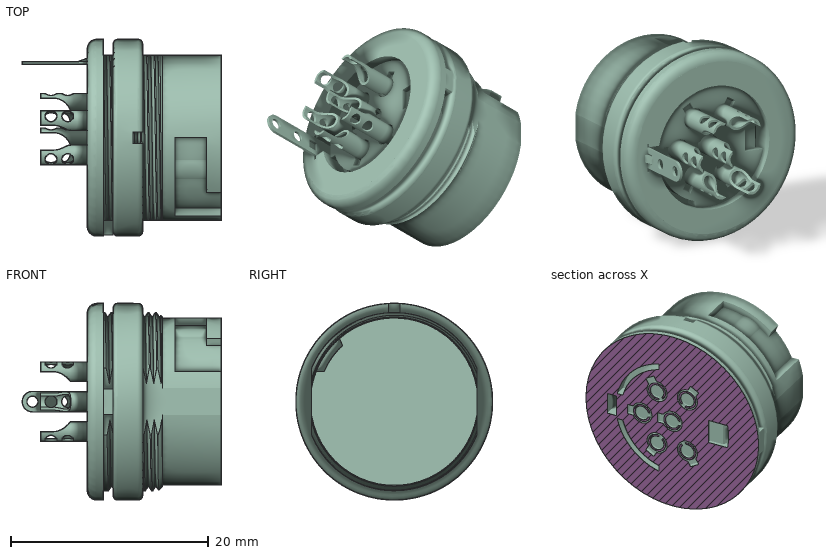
import cadquery as cq
import math


flange_radius = 10.0
flange_thickness = 1.65
flange_round = 1.0
nut_start = 2.63
nut_end = 5.65
nut_round = 0.5
nut_notch_depth = 1.0
nut_notch_width = 1.16
sleeve_radius = 8.5
sleeve_end = 13.63
flat_offset = 8.39
tab_width = 2.58
tab_reach = 9.9

thread_radius = 9.05
thread_root_radius = 8.59
thread_end = 7.65
thread_pitch = 0.75
thread_crest_width = 0.12
thread_turns = 8.4
thread_first_root = 1.73
thread_overrun = 1.35
thread_groove_clearance = 0.05
thread_lead_chamfer = 0.5

slot_start = 8.92
slot_lip_start = 12.14
slot_floor_radius = 7.75
slot_low_angle = 158.8
slot_low_floor_angle = 156.7
slot_entry_angle = 130.8
slot_entry_floor_angle = 132.7
slot_bump_low_angle = 123.2
slot_bump_high_angle = 107.2
slot_bump_radius = 7.94
slot_end_angle = 90.0

recess_radius = 6.5
insert_depth = 1.0
insert_radius = 5.91
gap_depth = 2.5
gap_edge_y = 1.57
key_half_width = 1.5
pocket_inner_y = -4.23
pocket_width = 2.55
pocket_depth = 0.57
pocket_drop_y = -5.72
pocket_drop = 1.2

contact_circle_radius = 3.5
contact_tip = -4.72
contact_radius = 1.0
contact_root = 1.0
cup_bore_diameter = 1.5
cup_depth = 6.2
cup_cut_offset = 0.5
cup_flat_length = 1.3
cup_cut_radius = 1.8
cup_hole_diameter = 1.2
cup_hole_positions = (1.05, 2.75)
base_hole_diameter = 1.0
base_hole_x = 0.8
seat_radius = 1.13
seat_depth = 0.5
seat_key_width = 1.03
seat_key_reach = 1.76
seat_key_ramp = 0.2

lug_tip = -6.6
lug_inner_y = 7.45
lug_thickness = 0.28
lug_slot_clearance = 0.05
lug_half_width = 1.05
lug_hole_diameter = 1.1
lug_hole_spacing = 3.0
lug_window_size = 1.0
lug_window_offset = 5.15
lug_slot_half_width = 1.5
lug_slot_depth = 1.0
lug_pocket_inner_y = 6.4
lug_pocket_half_width = 1.13
lug_pocket_depth = 3.0
lug_pocket_floor_y = 6.95
lug_bend_radius = 0.45
barb_length = 0.95
barb_height = 0.35
barb_width = 0.8


def cylinder_x(start, end, radius):
    """Solid cylinder around the X axis between two stations."""
    return cq.Workplane("YZ", origin=(start, 0, 0)).circle(radius).extrude(end - start)


def block(x_range, y_range, z_range):
    """Box given by its limits along the three axes."""
    (x0, x1), (y0, y1), (z0, z1) = x_range, y_range, z_range
    return cq.Workplane("XY").box(x1 - x0, y1 - y0, z1 - z0, centered=False).translate((x0, y0, z0))


def polar(radius, degrees):
    """Point in the YZ plane."""
    angle = math.radians(degrees)
    return (radius * math.cos(angle), radius * math.sin(angle))


def thread_groove():
    """Helical V groove around X, cut as one right-handed sweep."""
    slope = (thread_pitch - thread_crest_width) / 2 / (thread_radius - thread_root_radius)
    mouth_radius = thread_radius + thread_groove_clearance
    mouth_half_width = slope * (mouth_radius - thread_root_radius)
    helix = cq.Wire.makeHelix(thread_pitch, thread_pitch * thread_turns, thread_root_radius)
    profile = cq.Workplane("XZ").polyline([
        (thread_root_radius, 0),
        (mouth_radius, mouth_half_width),
        (mouth_radius, -mouth_half_width),
    ]).close()
    groove = profile.sweep(cq.Workplane(obj=helix), isFrenet=True)
    return groove.rotate((0, 0, 0), (0, 1, 0), 90).translate((thread_first_root, 0, 0))


def threaded_sleeve():
    """Threaded barrel and plain sleeve, flattened on the two Y sides."""
    barrel = cylinder_x(0, thread_end + thread_overrun, thread_radius).cut(thread_groove())
    envelope = cylinder_x(0, thread_end, thread_radius + thread_groove_clearance)
    barrel = barrel.intersect(envelope.faces(">X").edges().chamfer(thread_lead_chamfer))
    body = barrel.union(cylinder_x(0, sleeve_end, sleeve_radius))
    flats = block((0, sleeve_end), (-flat_offset, flat_offset), (-flange_radius, flange_radius))
    return body.intersect(flats)


def slot_sector(low_angle, low_floor_angle, high_angle, high_floor_angle, length):
    """Ring sector above the slot floor; the angles on the floor may differ from those outside."""
    outer_low = polar(sleeve_radius, low_angle)
    outer_high = polar(sleeve_radius, high_angle)
    floor_middle = polar(slot_floor_radius, (low_floor_angle + high_floor_angle) / 2)
    clear_middle = polar(flange_radius, (low_angle + high_angle) / 2)
    return (
        cq.Workplane("YZ", origin=(slot_start, 0, 0))
        .moveTo(*outer_low)
        .lineTo(*polar(slot_floor_radius, low_floor_angle))
        .threePointArc(floor_middle, polar(slot_floor_radius, high_floor_angle))
        .lineTo(*outer_high)
        .threePointArc(clear_middle, outer_low)
        .close()
        .extrude(length)
    )


def detent_bump():
    """Rounded rise of the slot floor that holds the locked plug."""
    low = polar(slot_floor_radius, slot_bump_low_angle)
    high = polar(slot_floor_radius, slot_bump_high_angle)
    top = polar(slot_bump_radius, (slot_bump_low_angle + slot_bump_high_angle) / 2)
    return (
        cq.Workplane("YZ", origin=(slot_start, 0, 0))
        .moveTo(0, 0)
        .lineTo(*low)
        .threePointArc(top, high)
        .close()
        .extrude(slot_lip_start - slot_start)
    )


def bayonet_slot():
    """L-shaped slot: wide entry from the front, turning behind a lip to a detent bump."""
    entry = slot_sector(
        slot_low_angle,
        slot_low_floor_angle,
        slot_entry_angle,
        slot_entry_floor_angle,
        sleeve_end - slot_start,
    )
    lock = slot_sector(
        slot_low_angle,
        slot_low_floor_angle,
        slot_end_angle,
        slot_end_angle,
        slot_lip_start - slot_start,
    )
    return entry.union(lock).cut(detent_bump())


def flange():
    """Round flange with a rounded rear rim and a locating tab on the -Y side."""
    disc = cylinder_x(0, flange_thickness, flange_radius).faces("<X").edges().fillet(flange_round)
    half_tab = tab_width / 2
    tab = block((flange_thickness / 2, nut_start), (-tab_reach, 0), (-half_tab, half_tab))
    return disc.union(tab)


def nut():
    """Ring nut with a notch in its front rim at the top."""
    ring = cylinder_x(nut_start, nut_end, flange_radius).edges().fillet(nut_round)
    half_notch = nut_notch_width / 2
    notch = block((nut_end - nut_notch_depth, nut_end), (-half_notch, half_notch), (0, flange_radius))
    return ring.cut(notch)


def rear_recess():
    """Recess down to the insert, deepened to a gap around its +Y half except at the key."""
    recess = cylinder_x(0, insert_depth, recess_radius)
    span = (-recess_radius, recess_radius)
    gap = cylinder_x(0, gap_depth, recess_radius).cut(cylinder_x(0, gap_depth, insert_radius))
    gap = gap.intersect(block((0, gap_depth), (gap_edge_y, recess_radius), span))
    gap = gap.cut(block((0, gap_depth), (0, recess_radius), (-key_half_width, key_half_width)))
    return recess.union(gap)


def insert_pocket():
    """Rectangular pocket in the insert whose floor drops towards the rim of the recess."""
    floor = insert_depth + pocket_depth
    pocket = (
        cq.Workplane("XY")
        .polyline([
            (0, pocket_inner_y),
            (floor, pocket_inner_y),
            (floor, pocket_drop_y),
            (floor + pocket_drop, -recess_radius),
            (0, -recess_radius),
        ])
        .close()
        .extrude(pocket_width / 2, both=True)
    )
    return pocket.intersect(cylinder_x(0, floor + pocket_drop, recess_radius))


def contact():
    """Solder-cup contact on the X axis with its kept wall towards +Y and a vent in the -Y wall."""
    pin = cylinder_x(contact_tip, insert_depth + seat_depth + contact_root, contact_radius)
    pin = pin.cut(cylinder_x(contact_tip, contact_tip + cup_depth, cup_bore_diameter / 2))
    arc_x = contact_tip + cup_flat_length
    arc_y = cup_cut_offset - cup_cut_radius
    middle = math.radians(45)
    arc_middle = (arc_x + cup_cut_radius * math.sin(middle), arc_y + cup_cut_radius * math.cos(middle))
    opening = (
        cq.Workplane("XY")
        .moveTo(contact_tip, cup_cut_offset)
        .lineTo(arc_x, cup_cut_offset)
        .threePointArc(arc_middle, (arc_x + cup_cut_radius, arc_y))
        .lineTo(contact_tip, arc_y)
        .close()
        .extrude(contact_radius, both=True)
    )
    pin = pin.cut(opening)
    for position in cup_hole_positions:
        hole = cq.Workplane("XZ", origin=(contact_tip + position, 0, 0))
        pin = pin.cut(hole.circle(cup_hole_diameter / 2).extrude(-contact_radius))
    base_hole = cq.Workplane("XZ", origin=(base_hole_x, 0, 0))
    return pin.cut(base_hole.circle(base_hole_diameter / 2).extrude(contact_radius))


def contact_seat():
    """Keyed clearance sunk into the insert around a contact; the key end is ramped."""
    bottom = insert_depth + seat_depth
    seat = cylinder_x(insert_depth, bottom, seat_radius)
    key = (
        cq.Workplane("XY")
        .polyline([
            (insert_depth, 0),
            (insert_depth, seat_key_reach),
            (bottom, seat_key_reach - seat_key_ramp),
            (bottom, 0),
        ])
        .close()
        .extrude(seat_key_width / 2, both=True)
    )
    return seat.union(key)


def place_contact(shape, radius, degrees):
    """Move a shape from the axis to its contact place, facing outwards."""
    y, z = polar(radius, degrees)
    return shape.rotate((0, 0, 0), (1, 0, 0), degrees).translate((0, y, z))


def lug_opening():
    """Slot for the ground lug and a tapering pocket inside it with a rounded floor."""
    slot_y = (lug_inner_y, lug_inner_y + lug_thickness + lug_slot_clearance)
    slot = block((0, lug_slot_depth), slot_y, (-lug_slot_half_width, lug_slot_half_width))
    pocket = (
        cq.Workplane("XY")
        .polyline([
            (0, lug_inner_y),
            (0, lug_pocket_inner_y),
            (insert_depth, lug_pocket_inner_y),
            (lug_pocket_depth, lug_pocket_floor_y),
            (lug_pocket_depth, lug_inner_y),
        ])
        .close()
        .extrude(lug_pocket_half_width, both=True)
    )
    pocket = pocket.edges(">X and >Y").fillet(lug_bend_radius)
    return slot.union(pocket)


def ground_lug():
    """Flat solder lug with two round holes, a square window and a bent-out barb."""
    hole_x = lug_tip + lug_half_width
    plate = (
        cq.Workplane("XZ", origin=(0, lug_inner_y, 0))
        .moveTo(lug_pocket_depth, lug_half_width)
        .lineTo(hole_x, lug_half_width)
        .threePointArc((lug_tip, 0), (hole_x, -lug_half_width))
        .lineTo(lug_pocket_depth, -lug_half_width)
        .close()
        .extrude(-lug_thickness)
    )
    holes = (
        cq.Workplane("XZ", origin=(0, lug_inner_y, 0))
        .pushPoints([(hole_x, 0), (hole_x + lug_hole_spacing, 0)])
        .circle(lug_hole_diameter / 2)
        .extrude(-lug_thickness)
    )
    window = (
        cq.Workplane("XZ", origin=(hole_x + lug_window_offset, lug_inner_y, 0))
        .rect(lug_window_size, lug_window_size)
        .extrude(-lug_thickness)
    )
    outer_y = lug_inner_y + lug_thickness
    barb = (
        cq.Workplane("XY")
        .polyline([(-barb_length, outer_y), (0, outer_y + barb_height), (0, outer_y)])
        .close()
        .extrude(barb_width / 2, both=True)
    )
    return plate.cut(holes).cut(window).union(barb)


result = threaded_sleeve().cut(bayonet_slot()).union(flange()).union(nut())
result = result.cut(rear_recess()).cut(insert_pocket()).cut(lug_opening()).union(ground_lug())

contact_places = [(0.0, 0.0)] + [(contact_circle_radius, angle) for angle in (0, 60, 120, 240, 300)]
for place_radius, place_angle in contact_places:
    result = result.cut(place_contact(contact_seat(), place_radius, place_angle))
    result = result.union(place_contact(contact(), place_radius, place_angle))